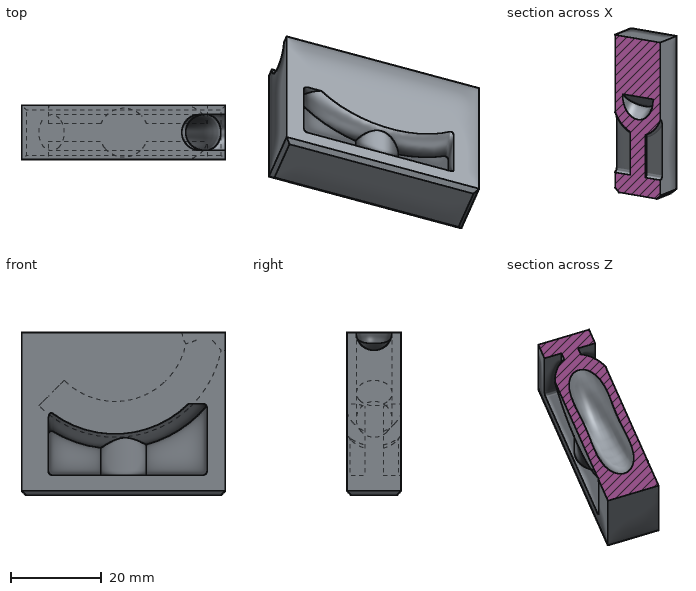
import cadquery as cq

length = 45
depth = 12.0
height = 36
base_chamfer_height = 1.0
base_chamfer_inset = 1.0

window_left = 5.9
window_right = 40.95
window_bottom = 4.45
window_top = 20.25
window_depth = 4.0
window_corner_radius = 1.0
wall_blend_radius = 0.68
post_radius = 5.4

arc_center_x = 20.6
arc_center_z = 36.7
arc_radius = 19.9
tube_radius = 6.85
duct_radius = 3.95
duct_sweep = 135

trough_end_x = 39.35

mid_y = depth / 2


def make_block():
    body = cq.Workplane("XY").box(length, depth, height, centered=False)
    return body.faces("<Z").chamfer(base_chamfer_height, base_chamfer_inset)


def arc_tube(radius, sweep):
    """Round bar bent about the arc center, starting on its right and running down and left."""
    return (
        cq.Workplane("XY", origin=(arc_center_x + arc_radius, mid_y, arc_center_z))
        .circle(radius)
        .revolve(sweep, (-arc_radius, 0, 0), (-arc_radius, 1, 0))
    )


def make_window():
    """Front window, leaving the tube wall, the solid inside its bend and the post."""
    window = (
        cq.Workplane("XY")
        .box(window_right - window_left, window_depth, window_top - window_bottom, centered=False)
        .translate((window_left, 0, window_bottom))
    )
    window = window.edges("|Y").fillet(window_corner_radius)
    bend_core = (
        cq.Workplane("XZ", origin=(arc_center_x, 0, arc_center_z))
        .circle(arc_radius)
        .extrude(-depth)
    )
    post = cq.Workplane("XY", origin=(length / 2, mid_y, 0)).circle(post_radius).extrude(height)
    window = window.cut(bend_core).cut(arc_tube(tube_radius, 360)).cut(post)
    return window.faces("<X").edges(">Z").fillet(wall_blend_radius)


def make_entry_trough():
    trough = (
        cq.Workplane("YZ", origin=(trough_end_x, mid_y, height))
        .circle(duct_radius)
        .extrude(length - trough_end_x)
    )
    round_end = cq.Workplane("XY", origin=(trough_end_x, mid_y, height)).sphere(duct_radius)
    return trough.union(round_end)


front_window = make_window()
back_window = front_window.mirror("XZ", (0, mid_y, 0))
result = make_block().cut(front_window).cut(back_window)
result = result.cut(arc_tube(duct_radius, duct_sweep)).cut(make_entry_trough())